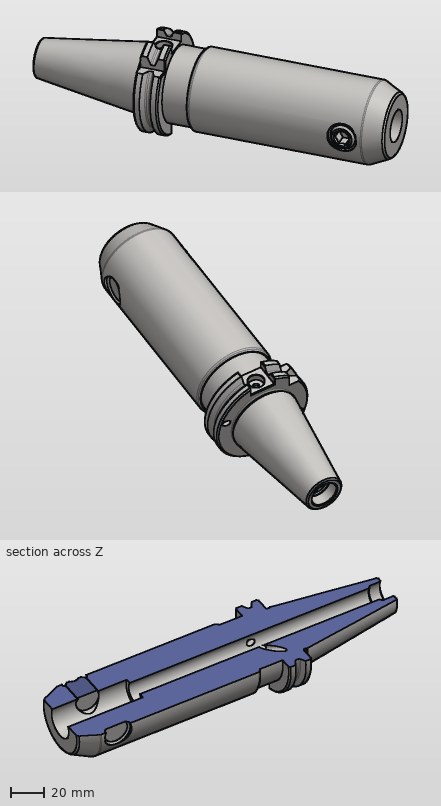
import cadquery as cq
import math


TOTAL_LENGTH = 228.4
TAPER_LENGTH = 68.4
GAUGE_RADIUS = 44.45 / 2
TAPER_RATIO = 7 / 24
SMALL_END_RADIUS = GAUGE_RADIUS - TAPER_LENGTH * TAPER_RATIO / 2
SMALL_END_CHAMFER = 0.9

FLANGE_OFFSET = 3.2
TAPER_OVERRUN = 0.7
RELIEF_DEPTH = 0.3
RELIEF_RUN_IN = 0.9
RELIEF_CORNER_RADIUS = 0.4

FLANGE_RADIUS = 63.55 / 2
FLANGE_START = TAPER_LENGTH + FLANGE_OFFSET
FLANGE_WIDTH = 15.9
FLANGE_END = FLANGE_START + FLANGE_WIDTH
FLANGE_CHAMFER = 1.0
GROOVE_CENTER = TAPER_LENGTH + 11.1
GROOVE_OPENING = 7.0
GROOVE_FLOOR_RADIUS = 27.9
GROOVE_CORNER_RADIUS = 1.0
GROOVE_HALF_ANGLE = math.radians(30)
GROOVE_DEPTH = FLANGE_RADIUS - GROOVE_FLOOR_RADIUS
GROOVE_FLOOR_WIDTH = GROOVE_OPENING - 2 * GROOVE_DEPTH * math.tan(GROOVE_HALF_ANGLE)

SLOT_WIDTH = 16.1
UPPER_SLOT_FLOOR = 25.0
UPPER_SLOT_CHAMFER = 0.5
LOWER_SLOT_FLOOR = 22.8
NOTCH_Y = 18.5
NOTCH_Z = 18.2
NOTCH_CHAMFER = 0.6
CHIP_POCKET_DIAMETER = 10.0
CHIP_POCKET_DEPTH = 4.6
CHIP_POCKET_CHAMFER = 0.25
CHIP_DRILL_DIAMETER = 4.0
CHIP_DRILL_DEPTH = 2.0
DRILL_POINT_ANGLE = math.radians(118)
FLANGE_HOLE_DIAMETER = 4.0
FLANGE_HOLE_SLOPE = 45.0
FLANGE_HOLE_CIRCLE_RADIUS = 27.0
FLANGE_HOLE_ANGLE = 20.0

NECK_RADIUS = 24.0
BODY_RADIUS = 26.0
BODY_START = TAPER_LENGTH + 35.0
BODY_CHAMFER = 1.5
BODY_BLEND_RADIUS = 1.5
NOSE_START = 215.6
NOSE_TIP_RADIUS = 20.5
NOSE_CHAMFER = 1.2
NOSE_BLEND_RADIUS = 2.0

PILOT_RADIUS = 8.5
PILOT_DEPTH = 8.2
PILOT_MOUTH_CHAMFER = 0.6
CORE_RADIUS = 7.0
CORE_LEAD_IN = 1.0
TOOL_BORE_RADIUS = 10.0
TOOL_BORE_DEPTH = 52.0

SCREW_X = TOTAL_LENGTH - 25.0
SCREW_RADIUS = 8.0
SCREW_HEAD_Y = -25.7
SCREW_CHAMFER = 1.6
SOCKET_ACROSS_FLATS = 8.0
SOCKET_DEPTH = 8.0
SOCKET_MOUTH_RADIUS = 5.2
COUNTERBORE_RADIUS = 9.3
COUNTERBORE_LEVEL = 24.2
COUNTERSINK_DEPTH = COUNTERBORE_RADIUS - SCREW_RADIUS


def circle_at(x):
    """Selector for the circular edge of the turned shape at the given X."""
    reach = 0.01
    return cq.selectors.BoxSelector(
        (x - reach, -FLANGE_RADIUS, -FLANGE_RADIUS),
        (x + reach, FLANGE_RADIUS, FLANGE_RADIUS),
    )


def turned_profile():
    """Solid of the outside shape, without the gripper groove."""
    taper_end = TAPER_LENGTH + TAPER_OVERRUN
    taper_end_radius = GAUGE_RADIUS + TAPER_OVERRUN * TAPER_RATIO / 2
    relief_radius = GAUGE_RADIUS - RELIEF_DEPTH
    profile = (
        cq.Workplane("XY")
        .moveTo(0, 0)
        .lineTo(0, SMALL_END_RADIUS - SMALL_END_CHAMFER)
        .lineTo(SMALL_END_CHAMFER, SMALL_END_RADIUS + SMALL_END_CHAMFER * TAPER_RATIO / 2)
        .lineTo(taper_end, taper_end_radius)
        .lineTo(taper_end + RELIEF_RUN_IN, relief_radius)
        .lineTo(FLANGE_START - RELIEF_CORNER_RADIUS, relief_radius)
        .radiusArc((FLANGE_START, relief_radius + RELIEF_CORNER_RADIUS), -RELIEF_CORNER_RADIUS)
        .lineTo(FLANGE_START, FLANGE_RADIUS - FLANGE_CHAMFER)
        .lineTo(FLANGE_START + FLANGE_CHAMFER, FLANGE_RADIUS)
        .lineTo(FLANGE_END - FLANGE_CHAMFER, FLANGE_RADIUS)
        .lineTo(FLANGE_END, FLANGE_RADIUS - FLANGE_CHAMFER)
        .lineTo(FLANGE_END, NECK_RADIUS)
        .lineTo(BODY_START, NECK_RADIUS)
        .lineTo(BODY_START, BODY_RADIUS - BODY_CHAMFER)
        .lineTo(BODY_START + BODY_CHAMFER, BODY_RADIUS)
        .lineTo(NOSE_START, BODY_RADIUS)
        .lineTo(TOTAL_LENGTH - NOSE_CHAMFER, NOSE_TIP_RADIUS)
        .lineTo(TOTAL_LENGTH, NOSE_TIP_RADIUS - NOSE_CHAMFER)
        .lineTo(TOTAL_LENGTH, 0)
        .close()
        .revolve(360, (0, 0, 0), (1, 0, 0))
    )
    profile = profile.edges(circle_at(BODY_START + BODY_CHAMFER)).fillet(BODY_BLEND_RADIUS)
    return profile.edges(circle_at(NOSE_START)).fillet(NOSE_BLEND_RADIUS)


def gripper_groove():
    """V-shaped ring cut around the flange, with rounded floor corners."""
    ring = (
        cq.Workplane("XY")
        .moveTo(GROOVE_CENTER - GROOVE_OPENING / 2, FLANGE_RADIUS)
        .lineTo(GROOVE_CENTER - GROOVE_FLOOR_WIDTH / 2, GROOVE_FLOOR_RADIUS)
        .lineTo(GROOVE_CENTER + GROOVE_FLOOR_WIDTH / 2, GROOVE_FLOOR_RADIUS)
        .lineTo(GROOVE_CENTER + GROOVE_OPENING / 2, FLANGE_RADIUS)
        .close()
        .revolve(360, (0, 0, 0), (1, 0, 0))
    )
    for side in (-1, 1):
        floor_corner = circle_at(GROOVE_CENTER + side * GROOVE_FLOOR_WIDTH / 2)
        ring = ring.edges(floor_corner).fillet(GROOVE_CORNER_RADIUS)
    return ring


def flange_box(y_min, y_max, z_min, z_max):
    """Block over the full flange width, used to cut slots and the notch."""
    return cq.Workplane("XY").box(
        FLANGE_WIDTH, y_max - y_min, z_max - z_min, centered=False
    ).translate((FLANGE_START, y_min, z_min))


def flared_mouth(face_x, inward, y_min, y_max, z_min, z_max, chamfer):
    """45-degree chamfer cutter around a rectangular opening in a side face of the flange.

    inward is the X direction into the flange, 1 or -1.
    """
    mouth = (
        cq.Workplane("YZ", origin=(face_x, 0, 0))
        .center((y_min + y_max) / 2, (z_min + z_max) / 2)
        .rect(y_max - y_min + 2 * chamfer, z_max - z_min + 2 * chamfer)
        .extrude(chamfer, taper=45)
    )
    if inward < 0:
        mouth = mouth.mirror("YZ", (face_x, 0, 0))
    return mouth


def upper_slot():
    """Driving slot with chamfers along its top edges and around its mouth on the taper side."""
    half_width = SLOT_WIDTH / 2
    flared_half_width = half_width + UPPER_SLOT_CHAMFER
    chamfer_top = math.sqrt(FLANGE_RADIUS**2 - flared_half_width**2)
    slot = (
        cq.Workplane("YZ", origin=(FLANGE_START, 0, 0))
        .moveTo(-half_width, UPPER_SLOT_FLOOR)
        .lineTo(half_width, UPPER_SLOT_FLOOR)
        .lineTo(half_width, chamfer_top - UPPER_SLOT_CHAMFER)
        .lineTo(flared_half_width, chamfer_top)
        .lineTo(flared_half_width, FLANGE_RADIUS)
        .lineTo(-flared_half_width, FLANGE_RADIUS)
        .lineTo(-flared_half_width, chamfer_top)
        .lineTo(-half_width, chamfer_top - UPPER_SLOT_CHAMFER)
        .close()
        .extrude(FLANGE_WIDTH)
    )
    mouth = flared_mouth(
        FLANGE_START, 1, -half_width, half_width, UPPER_SLOT_FLOOR, FLANGE_RADIUS, UPPER_SLOT_CHAMFER
    )
    return slot.union(mouth)


def lower_slot():
    """Deeper driving slot, cut into the flange only, so the neck keeps its round surface."""
    half_width = SLOT_WIDTH / 2
    return flange_box(-half_width, half_width, -FLANGE_RADIUS, -LOWER_SLOT_FLOOR)


def orientation_notch():
    """Corner notch, chamfered on the neck side."""
    notch = flange_box(-FLANGE_RADIUS, -NOTCH_Y, NOTCH_Z, FLANGE_RADIUS)
    mouth = flared_mouth(
        FLANGE_END, -1, -FLANGE_RADIUS, -NOTCH_Y, NOTCH_Z, FLANGE_RADIUS, NOTCH_CHAMFER
    )
    return notch.union(mouth)


def chip_pocket():
    """Round pocket in the floor of the upper slot, with a pointed drill hole in its centre."""
    pocket_radius = CHIP_POCKET_DIAMETER / 2
    drill_radius = CHIP_DRILL_DIAMETER / 2
    drill_point = drill_radius / math.tan(DRILL_POINT_ANGLE / 2)
    pocket_floor = UPPER_SLOT_FLOOR - CHIP_POCKET_DEPTH
    drill_floor = pocket_floor - CHIP_DRILL_DEPTH
    return (
        cq.Workplane("XZ", origin=(GROOVE_CENTER, 0, 0))
        .moveTo(0, UPPER_SLOT_FLOOR)
        .lineTo(pocket_radius + CHIP_POCKET_CHAMFER, UPPER_SLOT_FLOOR)
        .lineTo(pocket_radius, UPPER_SLOT_FLOOR - CHIP_POCKET_CHAMFER)
        .lineTo(pocket_radius, pocket_floor)
        .lineTo(drill_radius, pocket_floor)
        .lineTo(drill_radius, drill_floor)
        .lineTo(0, drill_floor - drill_point)
        .close()
        .revolve(360, (0, 0, 0), (0, 1, 0))
    )


def flange_holes():
    """Two opposite coolant holes, sloping from the taper side of the flange into the core hole."""
    slope = math.radians(FLANGE_HOLE_SLOPE)
    length_to_axis = FLANGE_HOLE_CIRCLE_RADIUS / math.sin(slope)
    overrun = FLANGE_HOLE_DIAMETER
    start = cq.Vector(FLANGE_START, FLANGE_HOLE_CIRCLE_RADIUS, 0)
    direction = cq.Vector(math.cos(slope), -math.sin(slope), 0)
    hole = cq.Workplane(
        cq.Solid.makeCylinder(
            FLANGE_HOLE_DIAMETER / 2, length_to_axis + overrun, start - direction * overrun, direction
        )
    )
    holes = cq.Workplane("XY")
    for angle in (FLANGE_HOLE_ANGLE, FLANGE_HOLE_ANGLE + 180):
        holes = holes.add(hole.rotate((0, 0, 0), (1, 0, 0), angle))
    return holes.combine()


def axial_bores():
    """Pilot bore at the taper end, core hole right through, and tool bore at the nose."""
    tool_bore_start = TOTAL_LENGTH - TOOL_BORE_DEPTH
    return (
        cq.Workplane("XY")
        .moveTo(0, 0)
        .lineTo(0, PILOT_RADIUS + PILOT_MOUTH_CHAMFER)
        .lineTo(PILOT_MOUTH_CHAMFER, PILOT_RADIUS)
        .lineTo(PILOT_DEPTH, PILOT_RADIUS)
        .lineTo(PILOT_DEPTH, CORE_RADIUS + CORE_LEAD_IN)
        .lineTo(PILOT_DEPTH + CORE_LEAD_IN, CORE_RADIUS)
        .lineTo(tool_bore_start, CORE_RADIUS)
        .lineTo(tool_bore_start, TOOL_BORE_RADIUS)
        .lineTo(TOTAL_LENGTH, TOOL_BORE_RADIUS)
        .lineTo(TOTAL_LENGTH, 0)
        .close()
        .revolve(360, (0, 0, 0), (1, 0, 0))
    )


def screw_hole():
    """Hole from the -Y side into the tool bore."""
    return (
        cq.Workplane("XZ", origin=(SCREW_X, 0, 0))
        .circle(SCREW_RADIUS)
        .extrude(BODY_RADIUS)
    )


def countersunk_recesses():
    """Round recesses, over the screw hole and on the opposite side for balance."""
    recess = (
        cq.Workplane("XY", origin=(SCREW_X, 0, 0))
        .moveTo(0, -BODY_RADIUS)
        .lineTo(COUNTERBORE_RADIUS, -BODY_RADIUS)
        .lineTo(COUNTERBORE_RADIUS, -COUNTERBORE_LEVEL)
        .lineTo(SCREW_RADIUS, COUNTERSINK_DEPTH - COUNTERBORE_LEVEL)
        .lineTo(0, COUNTERSINK_DEPTH - COUNTERBORE_LEVEL)
        .close()
        .revolve(360, (0, 0, 0), (0, 1, 0))
    )
    return recess.union(recess.mirror("XZ"))


def make_holder():
    return (
        turned_profile()
        .cut(gripper_groove())
        .cut(upper_slot())
        .cut(lower_slot())
        .cut(orientation_notch())
        .cut(chip_pocket())
        .cut(flange_holes())
        .cut(axial_bores())
        .cut(screw_hole())
        .cut(countersunk_recesses())
    )


def make_clamping_screw():
    """Set screw with a chamfered head, a hexagon socket and a flat end resting level with the tool bore."""
    screw = (
        cq.Workplane("XZ", origin=(SCREW_X, -TOOL_BORE_RADIUS, 0))
        .circle(SCREW_RADIUS)
        .extrude(-SCREW_HEAD_Y - TOOL_BORE_RADIUS)
        .faces("<Y")
        .chamfer(SCREW_CHAMFER)
    )
    socket_across_corners = SOCKET_ACROSS_FLATS / math.cos(math.pi / 6)
    socket = (
        cq.Workplane("XZ", origin=(SCREW_X, SCREW_HEAD_Y + SOCKET_DEPTH, 0))
        .polygon(6, socket_across_corners)
        .extrude(SOCKET_DEPTH)
    )
    mouth_depth = SOCKET_MOUTH_RADIUS - SOCKET_ACROSS_FLATS / 2
    socket_mouth = cq.Workplane(
        cq.Solid.makeCone(
            SOCKET_MOUTH_RADIUS,
            SOCKET_ACROSS_FLATS / 2,
            mouth_depth,
            cq.Vector(SCREW_X, SCREW_HEAD_Y, 0),
            cq.Vector(0, 1, 0),
        )
    )
    return screw.cut(socket).cut(socket_mouth)


holder = make_holder()
clamping_screw = make_clamping_screw()

result = cq.Compound.makeCompound([holder.solids().val(), clamping_screw.solids().val()])